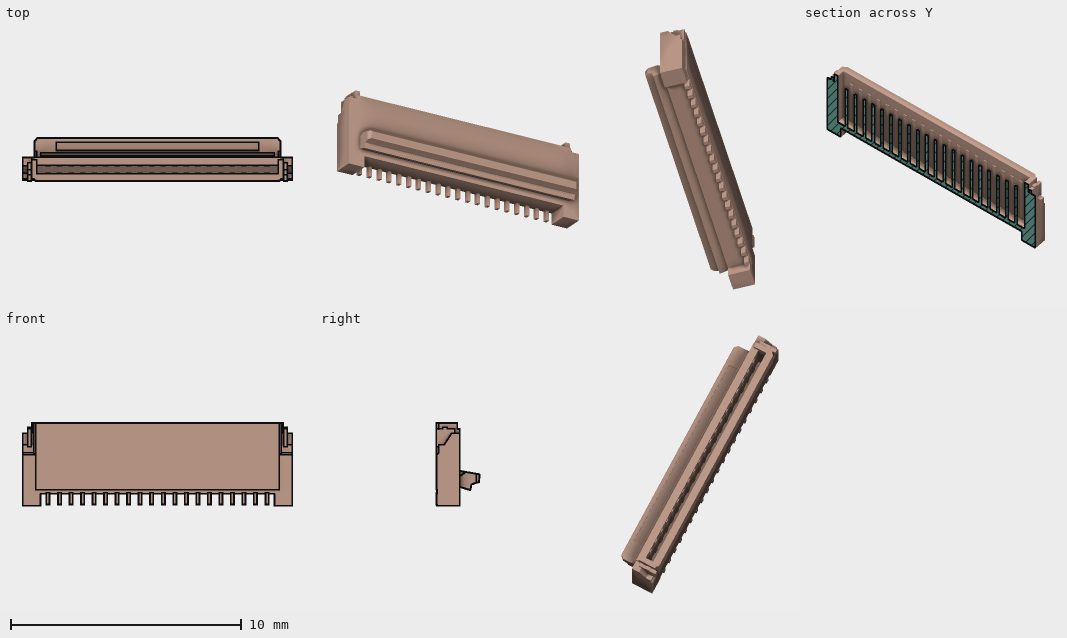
import cadquery as cq


length = 11.7
depth = 1.9
height = 3.6

housing_half = 5.45
housing_back = 1.03
housing_bottom = 0.53
rear_wall_top = 3.35
side_arm_back = 0.92
panel_half = 5.28
panel_bottom = 0.7
panel_proud = 0.04
corner_depth = 0.1
corner_run = 0.09

slot_half = 5.23
slot_front = 0.32
slot_back = 0.7
slot_floor = 0.82

leg_inner = 5.07
post_shoulder = 2.22
lip_top = 2.3
post_low_top = 2.65
post_high_top = 3.16
post_slope_front = 0.34
post_slope_back = 0.68

tab_thickness = 0.15
tab_gap = 0.02
tab_back = 0.81
tab_bottom = 2.57
tab_top = rear_wall_top
tab_bump_front = 0.28
tab_bump_back = 0.49
tab_bump_height = 0.07

contact_count = 20
contact_span = 9.5
contact_pitch = contact_span / (contact_count - 1)
tail_width = 0.15
tail_depth = 0.21
tail_bottom = 0.06
tail_top = 0.56
finger_width = 0.18
finger_thickness = 0.04
finger_top = 3.1

lever_half = 5.34
lever_root_top = 1.52
lever_tip_top = 1.38
lever_root_bottom = 0.82
lever_tip_bottom_y = 1.86
lever_tip_bottom_z = 1.03
lever_throat_start_y = 1.68
lever_throat_start_z = 0.98
lever_throat_mid_y = 1.53
lever_throat_mid_z = 0.92
lever_toe_y = 1.49
lever_toe_z = 0.68
lever_corner_x = 0.14
lever_corner_y = 0.16
lever_edge_bevel = 0.04
notch_width = 0.1
notch_back = 1.3
notch_drop = 0.23
groove_half = 5.07
groove_back = 1.24
groove_break = 1.1
groove_break_z = 1.42
groove_floor = 1.25
recess_half = 4.4
recess_depth = 0.06
recess_front = 1.31
recess_wall_run = 0.04
recess_back = 1.7


def box(x0, x1, y0, y1, z0, z1):
    """Block between two opposite corners."""
    return cq.Workplane("XY").box(x1 - x0, y1 - y0, z1 - z0, centered=False).translate((x0, y0, z0))


def extrude_side(points, x0, x1):
    """Extrude a closed (Y, Z) outline from x0 to x1."""
    return cq.Workplane("YZ").workplane(offset=x0).polyline(points).close().extrude(x1 - x0)


def lever_top(y):
    """Height of the lever's sloping top face at a given Y."""
    slope = (lever_tip_top - lever_root_top) / (depth - housing_back)
    return lever_root_top + slope * (y - housing_back)


def make_housing():
    chamfer_half = panel_half + corner_run
    plan = [
        (-panel_half, 0),
        (panel_half, 0),
        (chamfer_half, corner_depth),
        (housing_half, corner_depth),
        (housing_half, housing_back),
        (-housing_half, housing_back),
        (-housing_half, corner_depth),
        (-chamfer_half, corner_depth),
    ]
    upper = cq.Workplane("XY").workplane(offset=post_shoulder).polyline(plan).close()
    upper = upper.extrude(height - post_shoulder)
    panel = box(-panel_half, panel_half, 0, housing_back, panel_bottom, post_shoulder)
    core = box(-housing_half, housing_half, panel_proud, housing_back, housing_bottom, post_shoulder)
    rear_step = box(-slot_half, slot_half, slot_back, housing_back, rear_wall_top, height)
    arm_step = box(-housing_half, housing_half, side_arm_back, housing_back, rear_wall_top, height)
    slot = box(-slot_half, slot_half, slot_front, slot_back, slot_floor, height)
    return upper.union(panel).union(core).cut(rear_step).cut(arm_step).cut(slot)


def make_left_post():
    outer = -length / 2
    profile = [
        (panel_proud, 0),
        (panel_proud, post_shoulder),
        (corner_depth, lip_top),
        (corner_depth, post_low_top),
        (post_slope_front, post_low_top),
        (post_slope_back, post_high_top),
        (housing_back, post_high_top),
        (housing_back, 0),
    ]
    post = extrude_side(profile, outer, -panel_half)
    foot = box(-panel_half, -leg_inner, panel_proud, housing_back, 0, panel_bottom)
    return post.union(foot)


def make_left_tab():
    inner = -housing_half - tab_gap
    outer = inner - tab_thickness
    plate = box(outer, inner, 0, tab_back, tab_bottom, tab_top)
    bump = box(outer, inner, tab_bump_front, tab_bump_back, tab_top, tab_top + tab_bump_height)
    return plate.union(bump)


def make_contact(x):
    tail = box(x - tail_width / 2, x + tail_width / 2, 0, tail_depth, tail_bottom, tail_top)
    left = x - finger_width / 2
    right = x + finger_width / 2
    front_finger = box(left, right, slot_front, slot_front + finger_thickness, slot_floor, finger_top)
    back_finger = box(left, right, slot_back - finger_thickness, slot_back, slot_floor, finger_top)
    return [tail, front_finger, back_finger]


def make_lever():
    profile = [
        (housing_back, lever_root_top),
        (depth - lever_edge_bevel, lever_tip_top),
        (depth, lever_tip_top - lever_edge_bevel),
        (lever_tip_bottom_y, lever_tip_bottom_z),
        (lever_throat_start_y, lever_throat_start_z),
        (lever_throat_mid_y, lever_throat_mid_z),
        (lever_toe_y, lever_toe_z),
        (housing_back, lever_root_bottom),
    ]
    lever = extrude_side(profile, -lever_half, lever_half)

    for side in (-1, 1):
        corner = [
            (side * lever_half, depth),
            (side * lever_half, depth - lever_corner_y),
            (side * (lever_half - lever_corner_x), depth),
        ]
        lever = lever.cut(cq.Workplane("XY").polyline(corner).close().extrude(height))

    notch = [
        (notch_back, lever_top(notch_back)),
        (housing_back, lever_root_top - notch_drop),
        (housing_back, lever_root_top),
    ]
    lever = lever.cut(extrude_side(notch, -lever_half, notch_width - lever_half))
    lever = lever.cut(extrude_side(notch, lever_half - notch_width, lever_half))

    groove = [
        (groove_back, lever_top(groove_back)),
        (groove_break, groove_break_z),
        (housing_back, groove_floor),
        (housing_back, lever_root_top),
    ]
    lever = lever.cut(extrude_side(groove, -groove_half, groove_half))

    recess = [
        (recess_front, lever_top(recess_front)),
        (recess_front + recess_wall_run, lever_top(recess_front) - recess_depth),
        (recess_back, lever_top(recess_back) - recess_depth),
        (recess_back, lever_top(recess_back)),
    ]
    return lever.cut(extrude_side(recess, -recess_half, recess_half))


result = make_housing().union(make_lever())

for end_part in (make_left_post(), make_left_tab()):
    result = result.union(end_part).union(end_part.mirror("YZ"))

for index in range(contact_count):
    for piece in make_contact(index * contact_pitch - contact_span / 2):
        result = result.union(piece)